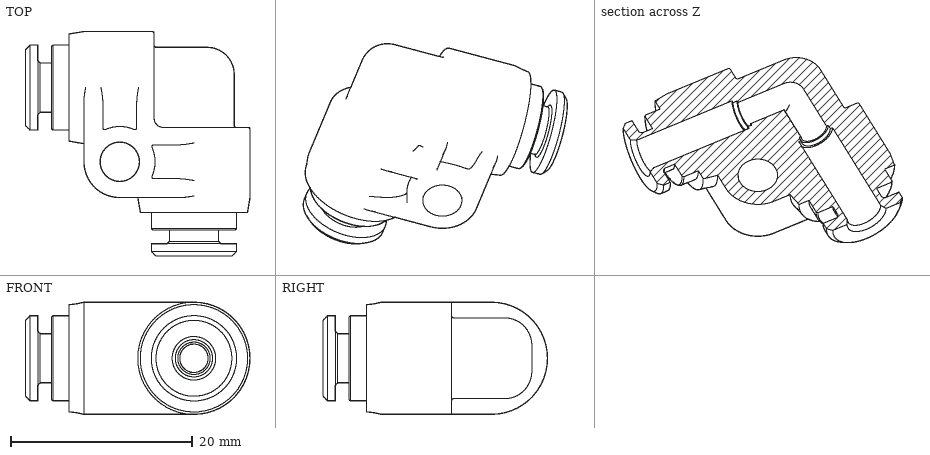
import cadquery as cq


body_radius = 6.2
tip_reach = 18.6
flange_inner = 17.2
neck_inner = 15.72
collar_inner = 13.8
body_front = 12.15
body_back = 4.4
collar_radius = 4.7
neck_radius = 2.73
taper_front_radius = 5.93
flange_chamfer = 0.52
neck_chamfer = 0.25
collar_chamfer = 0.15
edge_round = 0.2

mouth_radius = 2.4
mouth_depth = 0.62
tube_radius = 2.05
tube_stop = 6.2
stop_radius = 1.79
stop_recess = 0.5
passage_radius = 1.55

corner_radius = 3.97
inner_corner_radius = 1.0
mount_hole_diameter = 4.32
mount_center = corner_radius - body_front
pocket_width = 3.75
pocket_corner_radius = 0.2
hole_wall_radius = 3.9

elbow_half_width = 4.46
elbow_round = 3.03
elbow_crease_round = 0.2
elbow_embed = 7.45

root_round = 0.2
root_plate_radius = 5.45
root_plate_thickness = 0.5
root_arm_length = 0.37

margin = 0.12


def on_second_port(shape):
    """Turn a feature of the -X port half a turn about the line X = Y onto the -Y port."""
    return shape.rotate((0, 0, 0), (1, 1, 0), 180)


def at_corner(place):
    """Select the upright edge at X = Y = place."""
    return cq.NearestToPointSelector((place, place, 0))


def both_ports(shape):
    return shape.union(on_second_port(shape))


def port_solid():
    """Stepped body, collar, neck and release flange of the -X port."""
    profile = (
        cq.Workplane("XY")
        .moveTo(-tip_reach, 0)
        .lineTo(-tip_reach, collar_radius - flange_chamfer)
        .lineTo(-tip_reach + flange_chamfer, collar_radius)
        .lineTo(-flange_inner, collar_radius)
        .lineTo(-flange_inner, neck_radius + neck_chamfer)
        .lineTo(-flange_inner + neck_chamfer, neck_radius)
        .lineTo(-neck_inner, neck_radius)
        .lineTo(-neck_inner, collar_radius - collar_chamfer)
        .lineTo(-neck_inner + collar_chamfer, collar_radius)
        .lineTo(-collar_inner, collar_radius)
        .lineTo(-collar_inner, taper_front_radius)
        .lineTo(-body_front, body_radius)
        .lineTo(-body_back - edge_round, body_radius)
        .radiusArc((-body_back, body_radius - edge_round), edge_round)
        .lineTo(-body_back, 0)
        .close()
    )
    return profile.revolve(360, (0, 0, 0), (1, 0, 0))


def port_bore():
    """Lead-in, tube seat, stop and passage of the -X port."""
    profile = (
        cq.Workplane("XY")
        .moveTo(-tip_reach, 0)
        .lineTo(-tip_reach, mouth_radius)
        .lineTo(-tip_reach + mouth_depth, tube_radius)
        .lineTo(-tube_stop, tube_radius)
        .lineTo(-tube_stop, stop_radius)
        .lineTo(-tube_stop + stop_recess, stop_radius)
        .lineTo(-tube_stop + stop_recess, passage_radius)
        .lineTo(0, passage_radius)
        .lineTo(0, 0)
        .close()
    )
    return profile.revolve(360, (0, 0, 0), (1, 0, 0))


def pocket():
    """Recess between the ribs of the -X port, stopping at a round wall about the mounting hole."""
    height = 2 * body_radius
    recess = cq.Workplane("XY").box(pocket_width, -mount_center, height)
    recess = recess.translate((mount_center, mount_center / 2, 0))
    wall = cq.Workplane("XY").center(mount_center, mount_center).circle(hole_wall_radius)
    recess = recess.cut(wall.extrude(body_radius, both=True))
    tips = cq.selectors.BoxSelector(
        (mount_center - pocket_width, mount_center, -margin),
        (mount_center + pocket_width, -body_back, margin),
    )
    return recess.edges("|Z").edges(tips).fillet(pocket_corner_radius)


def mounting_block():
    """Block filling the inside corner between the ports, pocketed down to the port bodies."""
    block = (
        cq.Workplane("XY")
        .polyline([
            (-body_front, -body_front),
            (0, -body_front),
            (0, -body_back),
            (-body_back, -body_back),
            (-body_back, 0),
            (-body_front, 0),
        ])
        .close()
        .extrude(body_radius, both=True)
    )
    block = block.edges(at_corner(-body_front)).fillet(corner_radius)
    block = block.edges(at_corner(-body_back)).fillet(inner_corner_radius)
    block = block.cut(both_ports(pocket()))
    off_axes = cq.selectors.BoxSelector(
        (-body_front - margin, -body_front - margin, -body_radius - margin),
        (-edge_round, -edge_round, body_radius + margin),
    )
    return block.faces("<Z or >Z").edges().edges(off_axes).fillet(edge_round)


def elbow():
    """Bend of rounded square section, with both arms reaching into the port bodies."""
    half = elbow_half_width
    bend = (
        cq.Workplane("XY")
        .polyline([
            (-elbow_embed, half),
            (half, half),
            (half, -elbow_embed),
            (-half, -elbow_embed),
            (-half, -half),
            (-elbow_embed, -half),
        ])
        .close()
        .extrude(half, both=True)
    )
    away_from_ends = cq.selectors.BoxSelector(
        (margin - elbow_embed, margin - elbow_embed, -half - margin),
        (half + margin, half + margin, half + margin),
    )
    long_edges = bend.faces("<Z or >Z").edges().edges(away_from_ends)
    bend = bend.edges(at_corner(half)).add(long_edges).fillet(elbow_round)

    crease_start = -half + elbow_round / 4
    crease_end = -half + elbow_round
    creases = cq.selectors.BoxSelector(
        (crease_start, crease_start, -half),
        (crease_end, crease_end, half),
    )
    return bend.edges(creases).fillet(elbow_crease_round)


def elbow_root():
    """Stub of the elbow arm on the back face of the -X port body, with a rounded root."""
    side = 2 * elbow_half_width
    plate = (
        cq.Workplane("YZ", origin=(-body_back, 0, 0))
        .circle(root_plate_radius)
        .extrude(-root_plate_thickness)
    )
    arm = (
        cq.Workplane("YZ", origin=(-body_back, 0, 0))
        .rect(side, side)
        .extrude(root_arm_length)
        .edges("|X")
        .fillet(elbow_round)
    )
    back_face = cq.selectors.BoxSelector(
        (-body_back - margin, -side, -side),
        (-body_back + margin, side, side),
    )
    plate_rim = cq.NearestToPointSelector((-body_back, 0, 0))
    return plate.union(arm).edges(back_face - plate_rim).fillet(root_round)


def mount_hole():
    """Mounting hole running right through the block."""
    hole = cq.Workplane("XY").center(mount_center, mount_center).circle(mount_hole_diameter / 2)
    return hole.extrude(body_radius, both=True)


root = elbow_root()
bend = elbow().union(root).union(on_second_port(root))
outside = bend.union(mounting_block()).union(both_ports(port_solid()))
passages = both_ports(port_bore()).union(cq.Workplane("XY").sphere(passage_radius))
result = outside.cut(passages).cut(mount_hole())